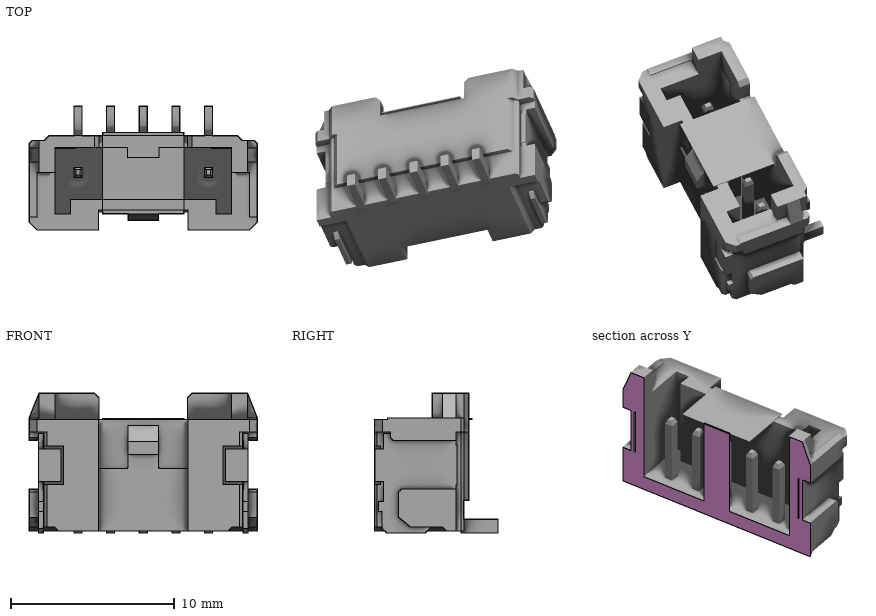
import cadquery as cq


half_length = 7.0
pin_end_y = 7.6
crown_top_z = 8.6
body_top_z = 6.99
body_bottom_z = 0.13

core_half_x = 6.09
rear_y = 5.5
core_corner = 0.18
ridge_depth = 0.3
ridge_rear_y = rear_y + ridge_depth
ridge_half_x = 5.78
ridge_flare = ridge_depth
lower_ridge_half_x = 5.46
ridge_bottom_z = 2.02

recess_half_x = 2.75
recess_y = 1.1
upper_recess_y = 1.23
upper_recess_z = 3.98
latch_half_x = 0.92
latch_foot = 0.05
hook_front_y = 0.6
hook_top_z = 6.62
hook_nose_z = 5.64
hook_bottom_z = 4.83

cavity_half_x = 5.4
cavity_front_y = 1.89
cavity_rear_y = 5.08
cavity_floor_z = 1.12
slot_inner_x = 4.47
slot_front_y = 0.98
rib_front_y = 4.47
rib_half_x = 0.98
pad_inner_x = 4.2
pad_front_y = 5.0
pad_top_z = 6.68
pad_bevel_height = 0.27

crown_half_x = 6.4
crown_front_y = 3.54
crown_inner_x = 2.7
crown_chamfer = 0.3

lip_bottom_z = 6.22
lip_front_corner = 0.49
lip_strip_top_z = 7.07
lip_strip_inner_x = 6.51
lip_strip_front_y = 0.8
skirt_bottom_z = 5.7
skirt_front_y = 1.0
skirt_chamfer = 0.17
block_rear_y = 5.03
gusset_front_y = 4.19

block_front_y = 1.5
block_top_z = 2.7
block_chamfer = 0.17
block_slope_run = 0.71
block_slope_top_z = 0.98

notch_top_z = 0.39
notch_inner_x = 5.46
notch_rear_y = 4.17
notch_flare = notch_top_z - body_bottom_z

tab_thickness = 0.3
tab_outer_x = 6.43
tab_inner_x = tab_outer_x - tab_thickness
tab_top_z = 6.12
tab_front_y = 0.56
tab_toe_y = 0.48
tab_rear_tongue_y = 5.07
tab_tongue_top_z = 5.4
tab_tongue_bottom_z = 2.97
barb_front_y = 0.25
barb_top_z = 1.93
barb_bottom_z = 1.33
foot_rear_y = 3.42
foot_chamfer = 0.3
flap_inner_x = 5.05
flap_front_y = 0.04
flap_top_z = 5.18
flap_bottom_z = 3.16
flap_clearance = 0.17
flap_pocket_depth = 0.39

pin_count = 5
pin_pitch = 2.0
pin_width = 0.5
pin_depth = 0.6
pin_y = 3.54
pin_tail_height = 0.87
pin_tip_z = 5.5
pin_tip_height = 0.3
pin_tip_width = 0.27
pin_tip_depth = 0.34
pin_exit_y = rear_y - core_corner

film_side = 5.0
film_front_y = 1.0
film_thickness = 0.05


def block(x_range, y_range, z_range):
    """Axis-aligned box between the given limits."""
    x0, x1 = x_range
    y0, y1 = y_range
    z0, z1 = z_range
    return cq.Workplane("XY").box(x1 - x0, y1 - y0, z1 - z0, centered=False).translate((x0, y0, z0))


def centred_block(half_x, y_range, z_range):
    return block((-half_x, half_x), y_range, z_range)


def side_profile(points, x_range):
    """Prism with an outline of (y, z) points, reaching across x_range."""
    x0, x1 = x_range
    return cq.Workplane("YZ", origin=(x0, 0, 0)).polyline(points).close().extrude(x1 - x0)


def front_profile(points, y_range):
    """Prism with an outline of (x, z) points, reaching across y_range."""
    y0, y1 = y_range
    return cq.Workplane("XZ", origin=(0, y0, 0)).polyline(points).close().extrude(y0 - y1)


def both_ends(end_part):
    """The +X end part together with its mirror image."""
    return end_part.union(end_part.mirror("YZ"))


def make_core():
    core = centred_block(core_half_x, (0, rear_y), (body_bottom_z, body_top_z))
    core = core.edges("|Z").chamfer(core_corner)
    lower_ridge = make_ridge(lower_ridge_half_x, ridge_bottom_z, lip_bottom_z)
    upper_ridge = make_ridge(ridge_half_x, lip_bottom_z, body_top_z)
    return core.union(lower_ridge).union(upper_ridge)


def make_ridge(half_x, bottom_z, top_z):
    """Raised strip on the rear face, with flared ends."""
    outline = [
        (-half_x - ridge_flare, rear_y),
        (-half_x, ridge_rear_y),
        (half_x, ridge_rear_y),
        (half_x + ridge_flare, rear_y),
        (half_x, cavity_rear_y),
        (-half_x, cavity_rear_y),
    ]
    return cq.Workplane("XY", origin=(0, 0, bottom_z)).polyline(outline).close().extrude(top_z - bottom_z)


def make_lip():
    """Flange at the top of the +X end, its raised strip and the skirt below it."""
    x_range = (cavity_half_x, half_length)
    rim = block(x_range, (0, rear_y), (lip_bottom_z, body_top_z))
    rim = rim.edges("|Z and >X and <Y").chamfer(lip_front_corner)
    strip = block((lip_strip_inner_x, half_length), (lip_strip_front_y, crown_front_y),
                  (body_top_z, lip_strip_top_z))
    rear_strip = block((cavity_half_x, half_length), (crown_front_y, rear_y),
                       (body_top_z, lip_strip_top_z))
    lip = rim.union(strip).union(rear_strip)
    lip = lip.edges("|Z and >X and >Y").chamfer(core_corner)
    skirt = block((core_half_x, half_length), (skirt_front_y, block_rear_y),
                  (skirt_bottom_z, lip_bottom_z))
    skirt = skirt.edges("|X and <Y and <Z").chamfer(skirt_chamfer)
    return lip.union(skirt)


def make_crown():
    """Raised wall around the +X rear corner, with a gusset down to the lip."""
    z_range = (body_top_z, crown_top_z)
    side_wall = block((cavity_half_x, crown_half_x), (crown_front_y, rear_y), z_range)
    rear_wall = block((crown_inner_x, crown_half_x), (cavity_rear_y, rear_y), z_range)
    clip = block((crown_inner_x, half_length), (cavity_rear_y, pin_end_y), z_range)
    rear_wall = rear_wall.union(make_ridge(ridge_half_x, *z_range).intersect(clip))
    rear_wall = rear_wall.intersect(front_profile([
        (crown_inner_x, body_top_z),
        (crown_inner_x, crown_top_z - crown_chamfer),
        (crown_inner_x + crown_chamfer, crown_top_z),
        (half_length, crown_top_z),
        (half_length, body_top_z),
    ], (cavity_rear_y, pin_end_y)))
    gusset = front_profile([
        (crown_half_x, lip_strip_top_z),
        (crown_half_x, crown_top_z),
        (half_length, lip_strip_top_z),
    ], (gusset_front_y, block_rear_y))
    return side_wall.union(rear_wall).union(gusset)


def make_side_block():
    """Block low on the +X end face."""
    slope_end_y = block_front_y + block_slope_run
    return side_profile([
        (block_rear_y, body_bottom_z),
        (block_rear_y, block_top_z),
        (block_front_y + block_chamfer, block_top_z),
        (block_front_y, block_top_z - block_chamfer),
        (block_front_y, block_slope_top_z),
        (slope_end_y, notch_top_z),
        (slope_end_y, body_bottom_z),
    ], (core_half_x, half_length))


def make_notch():
    """Cutter under the +X front corner, widening downwards on its two inner sides."""
    across_x = front_profile([
        (notch_inner_x - notch_flare, body_bottom_z),
        (notch_inner_x, notch_top_z),
        (half_length, notch_top_z),
        (half_length, body_bottom_z),
    ], (0, rear_y))
    across_y = side_profile([
        (0, body_bottom_z),
        (0, notch_top_z),
        (notch_rear_y, notch_top_z),
        (notch_rear_y + notch_flare, body_bottom_z),
    ], (0, half_length))
    return across_x.intersect(across_y)


def make_front_recess():
    """Cutter for the set-back middle of the front face."""
    lower = centred_block(recess_half_x, (0, recess_y), (body_bottom_z, body_top_z))
    upper = centred_block(recess_half_x, (0, upper_recess_y), (upper_recess_z, body_top_z))
    return lower.union(upper)


def make_latch():
    """Column with a small foot and a hook, standing in the front recess."""
    column = front_profile([
        (-latch_half_x - latch_foot, upper_recess_z),
        (-latch_half_x, upper_recess_z + 2 * latch_foot),
        (-latch_half_x, hook_bottom_z),
        (latch_half_x, hook_bottom_z),
        (latch_half_x, upper_recess_z + 2 * latch_foot),
        (latch_half_x + latch_foot, upper_recess_z),
    ], (recess_y, upper_recess_y))
    hook = side_profile([
        (upper_recess_y, hook_bottom_z),
        (hook_front_y, hook_bottom_z),
        (hook_front_y, hook_nose_z),
        (upper_recess_y, hook_top_z),
    ], (-latch_half_x, latch_half_x))
    return column.union(hook)


def make_cavity():
    """Cutter for the plug cavity, leaving the centre rib and the corner pads."""
    z_range = (cavity_floor_z, body_top_z)
    cavity = centred_block(cavity_half_x, (cavity_front_y, cavity_rear_y), z_range)
    slot = block((slot_inner_x, cavity_half_x), (slot_front_y, cavity_front_y), z_range)
    pad = side_profile([
        (cavity_rear_y, cavity_floor_z),
        (cavity_rear_y, pad_top_z),
        (pad_front_y, pad_top_z - pad_bevel_height),
        (pad_front_y, cavity_floor_z),
    ], (pad_inner_x, cavity_half_x))
    rib = centred_block(rib_half_x, (rib_front_y, cavity_rear_y), z_range)
    return cavity.union(both_ends(slot)).cut(both_ends(pad)).cut(rib)


def make_flap_pocket():
    """Cutter for the shallow pocket behind the +X solder-tab flap."""
    return block((flap_inner_x - flap_clearance, core_half_x), (0, flap_pocket_depth),
                 (flap_bottom_z - flap_clearance, flap_top_z + flap_clearance))


def make_solder_tab():
    """Upright sheet on the +X end with its foot, barb, rear tongue and front flap."""
    sheet_range = (tab_inner_x, tab_outer_x)
    sheet = side_profile([
        (tab_front_y, tab_top_z),
        (tab_front_y, barb_top_z),
        (barb_front_y, barb_top_z),
        (barb_front_y, barb_bottom_z),
        (tab_toe_y, barb_bottom_z),
        (tab_toe_y, foot_chamfer),
        (tab_toe_y + foot_chamfer, 0),
        (foot_rear_y - foot_chamfer, 0),
        (foot_rear_y, foot_chamfer),
        (foot_rear_y, notch_top_z),
        (block_rear_y, notch_top_z),
        (block_rear_y, tab_tongue_bottom_z),
        (tab_rear_tongue_y, tab_tongue_bottom_z),
        (tab_rear_tongue_y, tab_tongue_top_z),
        (block_rear_y, tab_tongue_top_z),
        (block_rear_y, tab_top_z),
    ], sheet_range)
    flap_z_range = (flap_bottom_z, flap_top_z)
    web = block(sheet_range, (flap_front_y, tab_front_y), flap_z_range)
    flap = block((flap_inner_x, tab_outer_x), (flap_front_y, flap_front_y + tab_thickness), flap_z_range)
    return sheet.union(web).union(flap)


def make_pin(x):
    """Bent pin: tail along +Y at the seating plane, tapered post inside the cavity."""
    half_width = pin_width / 2
    x_range = (x - half_width, x + half_width)
    post_y_range = (pin_y - pin_depth / 2, pin_y + pin_depth / 2)
    tail = block(x_range, (pin_exit_y, pin_end_y), (0, pin_tail_height))
    taper_z = pin_tip_z - pin_tip_height
    post = block(x_range, post_y_range, (cavity_floor_z, taper_z))
    tip = (
        cq.Workplane("XY", origin=(x, pin_y, taper_z))
        .rect(pin_width, pin_depth)
        .workplane(offset=pin_tip_height)
        .rect(pin_tip_width, pin_tip_depth)
        .loft(ruled=True)
    )
    return tail.union(post).union(tip)


def make_connector():
    body = make_core()
    body = body.union(both_ends(make_lip()))
    body = body.union(both_ends(make_crown()))
    body = body.union(both_ends(make_side_block()))
    body = body.cut(both_ends(make_notch()))
    body = body.cut(make_front_recess()).union(make_latch())
    body = body.cut(make_cavity())
    body = body.cut(both_ends(make_flap_pocket()))
    body = body.union(both_ends(make_solder_tab()))
    for index in range(pin_count):
        body = body.union(make_pin((index - (pin_count - 1) / 2) * pin_pitch))
    return body


def make_film():
    return centred_block(film_side / 2, (film_front_y, film_front_y + film_side),
                         (body_top_z, body_top_z + film_thickness))


connector = make_connector()
film = make_film()

result = cq.Compound.makeCompound([connector.solids().val(), film.val()])